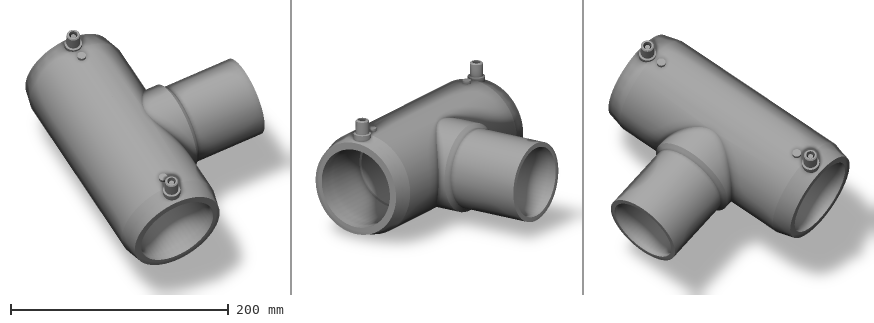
import cadquery as cq

RUN_LENGTH = 212.0
RUN_RADIUS = 48.5
RUN_END_RADIUS = 44.2
TAPER_LENGTH = 17.0
SOCKET_RADIUS = 37.5
SOCKET_DEPTH = 63.0
STOP_RADIUS = 35.2

BRANCH_END = 128.0
BRANCH_RADIUS = 37.5
BRANCH_WALL = 4.5
COLLAR_RADIUS = 41.8
COLLAR_END = 59.5

TERMINAL_INSET = 10.9
TERMINAL_TOP = 64.0
TERMINAL_BASE_RADIUS = 8.0
TERMINAL_BASE_TOP = 50.6
TERMINAL_BASE_RISE = 0.4
SHROUD_RADIUS = 6.1
SHROUD_CHAMFER = 1.0
SHROUD_BORE_RADIUS = 3.9
SHROUD_BORE_DEPTH = 12.0
PIN_RADIUS = 2.35
PIN_RECESS = 2.5

INDICATOR_INSET = 27.0
INDICATOR_RADIUS = 4.0
INDICATOR_TOP = 51.2

ROOT_HEIGHT = (SOCKET_RADIUS + RUN_END_RADIUS) / 2

HALF_LENGTH = RUN_LENGTH / 2


def make_run_body():
    """Solid run with a conical taper at both ends."""
    shoulder = HALF_LENGTH - TAPER_LENGTH
    profile = (
        cq.Workplane("XY")
        .moveTo(-HALF_LENGTH, 0)
        .lineTo(-HALF_LENGTH, RUN_END_RADIUS)
        .lineTo(-shoulder, RUN_RADIUS)
        .lineTo(shoulder, RUN_RADIUS)
        .lineTo(HALF_LENGTH, RUN_END_RADIUS)
        .lineTo(HALF_LENGTH, 0)
        .close()
    )
    return profile.revolve(360, (0, 0, 0), (1, 0, 0))


def cylinder_along_x(radius, length):
    """Cylinder on the X axis, centred on the origin."""
    return cq.Workplane("YZ").circle(radius).extrude(length / 2, both=True)


def cylinder_along_y(radius, length):
    """Cylinder on the Y axis from the origin towards +Y."""
    return cq.Workplane("XZ").circle(radius).extrude(-length)


def cylinder_along_z(x, radius, bottom, top):
    """Upright cylinder above the run axis at the given x."""
    return cq.Workplane("XY", origin=(x, 0, bottom)).circle(radius).extrude(top - bottom)


def make_branch_body():
    """Solid spigot with a collar chamfered down to it."""
    collar = cylinder_along_y(COLLAR_RADIUS, COLLAR_END)
    collar = collar.faces(">Y").chamfer(COLLAR_RADIUS - BRANCH_RADIUS)
    return cylinder_along_y(BRANCH_RADIUS, BRANCH_END).union(collar)


def cut_bores(body):
    """Cut the stepped run bore and the branch bore."""
    body = body.cut(cylinder_along_x(STOP_RADIUS, RUN_LENGTH))
    for side in (-1, 1):
        socket = (
            cq.Workplane("YZ", origin=(side * HALF_LENGTH, 0, 0))
            .circle(SOCKET_RADIUS)
            .extrude(-side * SOCKET_DEPTH)
        )
        body = body.cut(socket)
    return body.cut(cylinder_along_y(BRANCH_RADIUS - BRANCH_WALL, BRANCH_END))


def make_terminal(x):
    """Base ring with a sloping top, chamfered shroud and the contact pin inside its bore."""
    base_slope_width = TERMINAL_BASE_RADIUS - SHROUD_RADIUS
    base_peak = TERMINAL_BASE_TOP + TERMINAL_BASE_RISE
    base = cylinder_along_z(x, TERMINAL_BASE_RADIUS, ROOT_HEIGHT, base_peak)
    base = base.faces(">Z").chamfer(TERMINAL_BASE_RISE, base_slope_width)
    shroud = cylinder_along_z(x, SHROUD_RADIUS, ROOT_HEIGHT, TERMINAL_TOP)
    shroud = shroud.faces(">Z").chamfer(SHROUD_CHAMFER)
    bore_floor = TERMINAL_TOP - SHROUD_BORE_DEPTH
    bore = cylinder_along_z(x, SHROUD_BORE_RADIUS, bore_floor, TERMINAL_TOP)
    pin = cylinder_along_z(x, PIN_RADIUS, ROOT_HEIGHT, TERMINAL_TOP - PIN_RECESS)
    return base.union(shroud).cut(bore).union(pin)


def make_indicator(x):
    """Plain round button standing just proud of the run."""
    return cylinder_along_z(x, INDICATOR_RADIUS, ROOT_HEIGHT, INDICATOR_TOP)


result = cut_bores(make_run_body().union(make_branch_body()))
for side in (-1, 1):
    result = result.union(make_terminal(side * (HALF_LENGTH - TERMINAL_INSET)))
    result = result.union(make_indicator(side * (HALF_LENGTH - INDICATOR_INSET)))